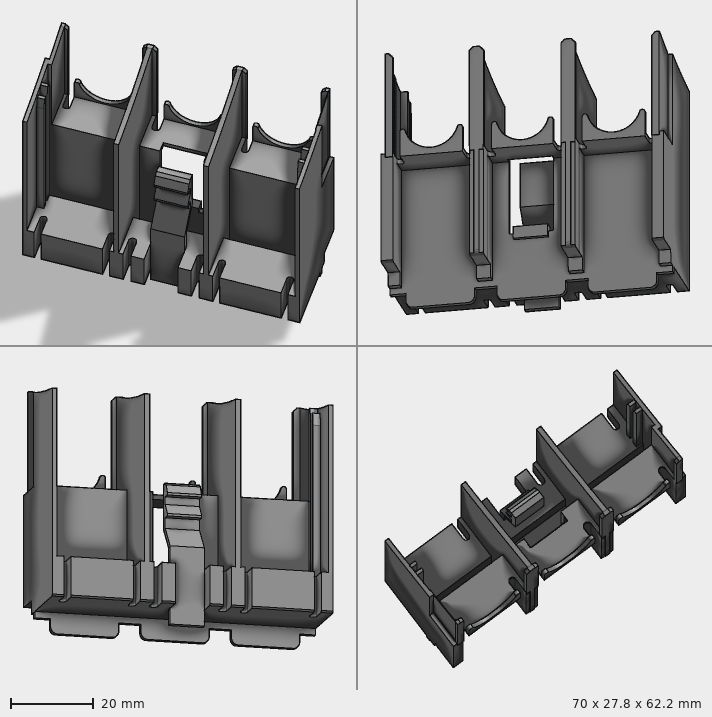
import cadquery as cq
import math

WIDTH = 70.0
LIP_BACK_Y = 27.8
BODY_BACK_Y = 27.55
HALF_WIDTH = WIDTH / 2

TOP_FRONT_Z = 51.55
TOP_MIDDLE_Y = 17.9
TOP_MIDDLE_Z = 54.55
TOP_BACK_Z = 56.93
FRONT_EDGE_HEIGHT = 0.45
FRONT_EDGE_DEPTH = 0.25
BACK_STEP_Y = 20.1
BACK_STEP_Z = 3.35
BACK_STEP_SLANT = 0.25
BACK_CORNER = 1.0
SIDE_WALL = 1.1
INNER_SIDE_X = HALF_WIDTH - SIDE_WALL
RECESS_Z = 31.2
LEFT_BACK_WALL = 1.0
RIGHT_BACK_WALL = 0.15
PARTITION_X = 11.35
PARTITION_WALL = 1.3

LIP_DEPTH = 1.1
LIP_HALF_WIDTH = 1.75
LIP_CHAMFER = 0.95
SIDE_LIP_INSET = 2.925
SIDE_LIP_X = HALF_WIDTH - SIDE_LIP_INSET

BLOCK_TOP_Z = 10.0
ROOF_TOP_Z = 31.45
CHANNEL_FRONT_Y = 12.1
CENTER_CHANNEL_FRONT_Y = 11.6
CHANNEL_FLOOR_Z = 1.2
WEB_FRONT_Y = 16.65
WEB_BACK_Y = 18.0
ROOF_THICKNESS = 1.2
ROOF_BOTTOM_Z = ROOF_TOP_Z - ROOF_THICKNESS

BAY_PITCH = 22.55
BAY_CENTERS = (-BAY_PITCH, 0, BAY_PITCH)
SLOT_DEPTH = 5.45
SIDE_BAY_SLOTS = (13.95, 31.2)
CENTER_BAY_SLOT = 8.62
SIDE_SLOT_WIDTH = 1.75
CENTER_SLOT_WIDTH = 2.0

SADDLE_TOP_Z = 37.2
SADDLE_BOTTOM_Z = 31.95
SADDLE_THICKNESS = 1.1
SADDLE_TIP_WIDTH = 1.35

TONGUE_WIDTH = 17.0
TONGUE_BOTTOM_Z = -5.24
TONGUE_SHOULDER_Z = -1.6
TONGUE_RADIUS = 1.6

LATCH_WIDTH = 8.55
LATCH_FRONT_Y = 5.25
LATCH_THICKNESS = 1.65
LATCH_BOTTOM_Z = -3.9
LATCH_KNEE_Z = 15.5
LATCH_SHOULDER_Y = 9.85
LATCH_SHOULDER_Z = 20.85
LATCH_TOP_Z = 32.1
TOOTH_TIP_Y = 7.8
TOOTH_BOTTOMS = (23.5, 28.7)
TOOTH_TIP_HEIGHT = 0.6
TOOTH_ROOT_Z = 26.8
LATCH_TOP_FRONT_Y = 8.95
LATCH_TOP_FRONT_Z = 31.45
CATCH_BACK_Y = 19.05
CATCH_TOP_Z = 13.0
WINDOW_HALF_WIDTH = 5.55
WINDOW_BOTTOM_Z = 11.56
WINDOW_RADIUS = 0.5
WINDOW_BACK_Y = 19.35

RAILS = ((9.1, 51.3), (11.65, 53.1))
RAIL_DEPTH = 1.35
RAIL_SLOPE_HEIGHT = 3.1
RAIL_SLOPE_DEPTH = 0.5


def box(x0, x1, y0, y1, z0, z1):
    """Axis-aligned block between two corners; the X limits may come in either order."""
    return cq.Workplane("XY").box(abs(x1 - x0), y1 - y0, z1 - z0, centered=False).translate(
        (min(x0, x1), y0, z0)
    )


def extrude_across(sketch, x0, x1):
    """Extrude a closed YZ outline between two X positions."""
    return sketch.extrude(abs(x1 - x0)).translate((min(x0, x1), 0, 0))


def wall(x0, x1, back_y=LIP_BACK_Y):
    """Upright wall with the curved top edge and the stepped lower back corner."""
    outline = (
        cq.Workplane("YZ")
        .moveTo(FRONT_EDGE_DEPTH, 0)
        .lineTo(0, FRONT_EDGE_HEIGHT)
        .lineTo(0, TOP_FRONT_Z)
        .threePointArc((TOP_MIDDLE_Y, TOP_MIDDLE_Z), (LIP_BACK_Y - LIP_DEPTH, TOP_BACK_Z))
        .lineTo(LIP_BACK_Y, TOP_BACK_Z)
        .lineTo(LIP_BACK_Y, BACK_STEP_Z + BACK_CORNER)
        .radiusArc((LIP_BACK_Y - BACK_CORNER, BACK_STEP_Z), BACK_CORNER)
        .lineTo(BACK_STEP_Y, BACK_STEP_Z)
        .lineTo(BACK_STEP_Y - BACK_STEP_SLANT, 0)
        .close()
    )
    whole = extrude_across(outline, x0, x1)
    return whole.intersect(box(x0, x1, 0, back_y, 0, TOP_BACK_Z))


def side_wall(side, back_wall):
    """Side wall on side -1 or +1, stepped inward at its upper back part."""
    outer_x = side * HALF_WIDTH
    inner_x = side * INNER_SIDE_X
    front = wall(outer_x, inner_x, BODY_BACK_Y).cut(
        box(outer_x, inner_x, WEB_BACK_Y, LIP_BACK_Y, RECESS_Z, TOP_BACK_Z)
    )
    back_x = inner_x - side * back_wall
    back = wall(inner_x, back_x).intersect(
        box(inner_x, back_x, WEB_FRONT_Y, LIP_BACK_Y, ROOF_BOTTOM_Z, TOP_BACK_Z)
    )
    lower_back = wall(inner_x, side * SIDE_LIP_X, BODY_BACK_Y).intersect(
        box(inner_x, side * SIDE_LIP_X, WEB_FRONT_Y, BODY_BACK_Y, 0, ROOF_TOP_Z)
    )
    return front.union(back).union(lower_back).union(lip(inner_x, side * SIDE_LIP_X, (side * SIDE_LIP_X,)))


def lip(x0, x1, chamfered_edges):
    """Vertical strip along the back edge of a wall, its listed top corners chamfered."""
    strip = wall(x0, x1).intersect(
        box(x0, x1, LIP_BACK_Y - LIP_DEPTH, LIP_BACK_Y, ROOF_BOTTOM_Z, TOP_BACK_Z)
    )
    for edge_x in chamfered_edges:
        inward = math.copysign(LIP_CHAMFER, (x0 + x1) / 2 - edge_x)
        corner = (
            cq.Workplane("XZ")
            .polyline([
                (edge_x, TOP_BACK_Z - LIP_CHAMFER),
                (edge_x, TOP_BACK_Z),
                (edge_x + inward, TOP_BACK_Z),
            ])
            .close()
            .extrude(-LIP_BACK_Y)
        )
        strip = strip.cut(corner)
    return strip


def partition(center_x):
    """Wall between two bays with a T-shaped back edge and a thicker lower back part."""
    x0 = center_x - LIP_HALF_WIDTH
    x1 = center_x + LIP_HALF_WIDTH
    plate = wall(center_x - PARTITION_WALL / 2, center_x + PARTITION_WALL / 2)
    lower_back = wall(x0, x1, BODY_BACK_Y).intersect(
        box(x0, x1, WEB_FRONT_Y, BODY_BACK_Y, 0, ROOF_TOP_Z)
    )
    return plate.union(lower_back).union(lip(x0, x1, (x0, x1)))


def base():
    """Front block, web, roof and the channel between block and web."""
    block = wall(-HALF_WIDTH, HALF_WIDTH).intersect(
        box(-HALF_WIDTH, HALF_WIDTH, 0, WEB_BACK_Y, 0, BLOCK_TOP_Z)
    )
    channel = box(
        -INNER_SIDE_X, INNER_SIDE_X, CHANNEL_FRONT_Y, WEB_FRONT_Y, CHANNEL_FLOOR_Z, BLOCK_TOP_Z
    )
    center_channel = box(
        -PARTITION_X, PARTITION_X, CENTER_CHANNEL_FRONT_Y, CHANNEL_FRONT_Y, CHANNEL_FLOOR_Z, BLOCK_TOP_Z
    )
    web = box(-INNER_SIDE_X, INNER_SIDE_X, WEB_FRONT_Y, WEB_BACK_Y, TONGUE_SHOULDER_Z, ROOF_TOP_Z)
    shoulder = box(-HALF_WIDTH, HALF_WIDTH, WEB_FRONT_Y, WEB_BACK_Y, TONGUE_SHOULDER_Z, 0)
    roof = box(-INNER_SIDE_X, INNER_SIDE_X, WEB_BACK_Y, BODY_BACK_Y, ROOF_BOTTOM_Z, ROOF_TOP_Z)
    return block.cut(channel).cut(center_channel).union(web).union(shoulder).union(roof)


def tongue(center_x):
    """Tab below the web with rounded lower corners."""
    half = TONGUE_WIDTH / 2
    tab = box(
        center_x - half, center_x + half, WEB_FRONT_Y, WEB_BACK_Y, TONGUE_BOTTOM_Z, TONGUE_SHOULDER_Z
    )
    return tab.edges("|Y and <Z").fillet(TONGUE_RADIUS)


def saddle(left_x, right_x):
    """Upright plate at the back of the roof with a round cradle in its top."""
    middle_x = (left_x + right_x) / 2
    shoulder_z = SADDLE_TOP_Z - SADDLE_TIP_WIDTH / 2
    plate = (
        cq.Workplane("XZ", origin=(0, BODY_BACK_Y, 0))
        .moveTo(left_x, ROOF_BOTTOM_Z)
        .lineTo(left_x, shoulder_z)
        .threePointArc((left_x + SADDLE_TIP_WIDTH / 2, SADDLE_TOP_Z), (left_x + SADDLE_TIP_WIDTH, shoulder_z))
        .threePointArc((middle_x, SADDLE_BOTTOM_Z), (right_x - SADDLE_TIP_WIDTH, shoulder_z))
        .threePointArc((right_x - SADDLE_TIP_WIDTH / 2, SADDLE_TOP_Z), (right_x, shoulder_z))
        .lineTo(right_x, ROOF_BOTTOM_Z)
        .close()
    )
    return plate.extrude(SADDLE_THICKNESS)


def slot_pair(center_x, width):
    """Round-ended openings cut in from the front and from the back."""
    reach = SLOT_DEPTH - width / 2
    cutter = None
    for edge_y, end_y in ((0, reach), (LIP_BACK_Y, LIP_BACK_Y - reach)):
        top_z = BLOCK_TOP_Z if edge_y == 0 else ROOF_TOP_Z
        straight = box(
            center_x - width / 2, center_x + width / 2, min(edge_y, end_y), max(edge_y, end_y), 0, top_z
        )
        end = cq.Workplane("XY").center(center_x, end_y).circle(width / 2).extrude(top_z)
        slot = straight.union(end)
        cutter = slot if cutter is None else cutter.union(slot)
    return cutter


def window():
    """Opening behind the latch: through the web, and on into the roof."""
    through = box(
        -WINDOW_HALF_WIDTH, WINDOW_HALF_WIDTH, WEB_FRONT_Y, WEB_BACK_Y, WINDOW_BOTTOM_Z, ROOF_TOP_Z
    )
    through = through.edges("|Y and <Z").fillet(WINDOW_RADIUS)
    behind = box(
        -WINDOW_HALF_WIDTH, WINDOW_HALF_WIDTH, WEB_BACK_Y, WINDOW_BACK_Y, ROOF_BOTTOM_Z, ROOF_TOP_Z
    )
    return through.union(behind)


def catch():
    """Ledge on the window sill behind the latch, reaching past the back of the web."""
    half = LATCH_WIDTH / 2
    return box(-half, half, WEB_FRONT_Y, CATCH_BACK_Y, BLOCK_TOP_Z, CATCH_TOP_Z)


def latch():
    """Bent strip with two finger teeth, rising from the notch in the front block."""
    half = LATCH_WIDTH / 2
    back_y = LATCH_SHOULDER_Y + LATCH_THICKNESS
    leg_back_y = LATCH_FRONT_Y + LATCH_THICKNESS
    lower_tooth_z, upper_tooth_z = TOOTH_BOTTOMS
    outline = (
        cq.Workplane("YZ")
        .moveTo(LATCH_FRONT_Y, LATCH_BOTTOM_Z)
        .lineTo(LATCH_FRONT_Y, LATCH_KNEE_Z)
        .lineTo(LATCH_SHOULDER_Y, LATCH_SHOULDER_Z)
        .lineTo(LATCH_SHOULDER_Y, lower_tooth_z)
        .lineTo(TOOTH_TIP_Y, lower_tooth_z)
        .lineTo(TOOTH_TIP_Y, lower_tooth_z + TOOTH_TIP_HEIGHT)
        .lineTo(LATCH_SHOULDER_Y, TOOTH_ROOT_Z)
        .lineTo(LATCH_SHOULDER_Y, upper_tooth_z)
        .lineTo(TOOTH_TIP_Y, upper_tooth_z)
        .lineTo(TOOTH_TIP_Y, upper_tooth_z + TOOTH_TIP_HEIGHT)
        .lineTo(LATCH_TOP_FRONT_Y, LATCH_TOP_FRONT_Z)
        .lineTo(LATCH_SHOULDER_Y, LATCH_TOP_Z)
        .lineTo(back_y, LATCH_TOP_Z)
        .lineTo(back_y, LATCH_SHOULDER_Z)
        .lineTo(leg_back_y, LATCH_KNEE_Z)
        .lineTo(leg_back_y, LATCH_BOTTOM_Z)
        .close()
    )
    return extrude_across(outline, -half, half)


def rail(side, back_y, top_z):
    """Guide rail on the inside of a side wall, with a steep lead-in at its front top."""
    front_y = back_y - RAIL_DEPTH
    outline = (
        cq.Workplane("YZ")
        .polyline([
            (front_y, BLOCK_TOP_Z),
            (front_y, top_z - RAIL_SLOPE_HEIGHT),
            (front_y + RAIL_SLOPE_DEPTH, top_z),
            (back_y, top_z),
            (back_y, BLOCK_TOP_Z),
        ])
        .close()
    )
    return extrude_across(outline, side * INNER_SIDE_X, side * SIDE_LIP_X)


result = base()
result = result.union(side_wall(-1, LEFT_BACK_WALL)).union(side_wall(1, RIGHT_BACK_WALL))
for side in (-1, 1):
    result = result.union(partition(side * PARTITION_X))
    for slot_x in SIDE_BAY_SLOTS:
        result = result.cut(slot_pair(side * slot_x, SIDE_SLOT_WIDTH))
    result = result.cut(slot_pair(side * CENTER_BAY_SLOT, CENTER_SLOT_WIDTH))
    for rail_back_y, rail_top_z in RAILS:
        result = result.union(rail(side, rail_back_y, rail_top_z))

result = result.cut(window())
result = result.cut(box(-LATCH_WIDTH / 2, LATCH_WIDTH / 2, 0, LATCH_FRONT_Y, 0, BLOCK_TOP_Z))
result = result.union(latch()).union(catch())

for bay_x in BAY_CENTERS:
    result = result.union(tongue(bay_x))

side_saddle_inner_x = SIDE_BAY_SLOTS[0] + SIDE_SLOT_WIDTH / 2
side_saddle_outer_x = SIDE_BAY_SLOTS[1] - SIDE_SLOT_WIDTH / 2
center_saddle_x = CENTER_BAY_SLOT - CENTER_SLOT_WIDTH / 2
result = result.union(saddle(-side_saddle_outer_x, -side_saddle_inner_x))
result = result.union(saddle(-center_saddle_x, center_saddle_x))
result = result.union(saddle(side_saddle_inner_x, side_saddle_outer_x))